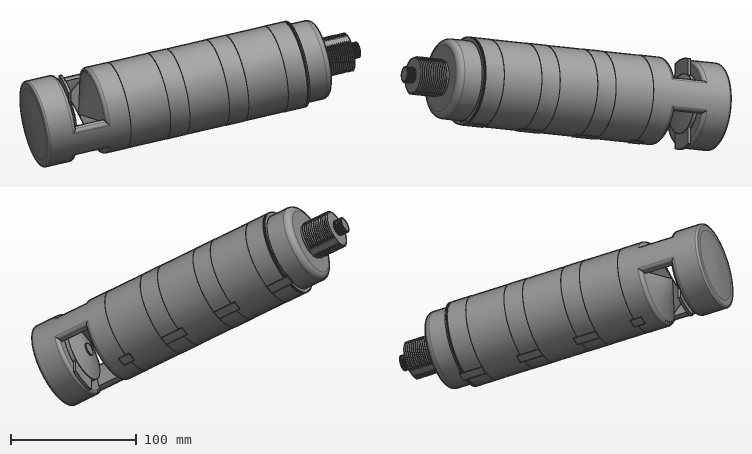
import cadquery as cq
import math

LENGTH = 276.5
HEAD_END = -LENGTH / 2
PLUG_END = LENGTH / 2

BODY_RADIUS = 35.0
LENS_STEP = 0.15
LENS_RADIUS = BODY_RADIUS - LENS_STEP
LENS_LENGTH = 33.5
COLLAR_LENGTH = 16.3
LENS_COUNT = 3
MODULE_LENGTH = LENS_LENGTH + COLLAR_LENGTH
STACK_START = -66.5
STACK_END = STACK_START + LENS_COUNT * MODULE_LENGTH

LUG_HALF_WIDTH = 4.1
LUG_RADIUS = 35.7
LUG_INNER_RADIUS = 33.2
LUG_OVERHANG = 3.3

END_CONE_HEIGHT = 2.2
END_CONE_RADIUS = 29.0
END_FACE = HEAD_END + END_CONE_HEIGHT
END_FILLET = 1.7
WINDOW_START = HEAD_END + 26.5
WINDOW_END = HEAD_END + 51.7
WINDOW_FILLET = 3.0
SELECT_MARGIN = 0.3
STRUT_HALF_WIDTH = 13.0
STRUT_EDGE_X = 27.5
STRUT_NOSE_X = 25.2

REFLECTOR_TIP = HEAD_END + 39.8
REFLECTOR_RADIUS = BODY_RADIUS - WINDOW_FILLET
RIDGE_HEIGHT = WINDOW_END - REFLECTOR_TIP

DOME_RADIUS = 24.0
DOME_RIM = WINDOW_START + 3.3
DOME_TOP = HEAD_END + 34.5
BUTTON_RADIUS = 5.3
BUTTON_TOP = HEAD_END + 35.5
PLATE_RADIUS = 36.5
PLATE_HALF_WIDTH = 11.5
PLATE_START = HEAD_END + 27.5
PLATE_END = HEAD_END + 29.5

RIM_WIDTH = 1.0
RIM_GROOVE_WIDTH = 0.8
RIM_GROOVE_RADIUS = 34.0
REAR_CAP_RADIUS = 32.0
REAR_CAP_END = 105.6
REAR_CAP_FILLET = 5.3
THREAD_ROOT_RADIUS = 14.5
THREAD_RADIUS = 15.5
THREAD_PITCH = 1.7
THREAD_COUNT = 14
CONNECTOR_END = 130.5
FLAT_HALF_HEIGHT = 14.0
PLUG_RADIUS = 6.4
PLUG_ROOT_RADIUS = 5.5
PLUG_RING_COUNT = 7
PLUG_RING_PITCH = (PLUG_END - CONNECTOR_END) / PLUG_RING_COUNT


def cylinder(radius, start, end):
    """Cylinder on the Y axis between two Y positions."""
    return cq.Workplane("XZ", origin=(0, start, 0)).circle(radius).extrude(start - end)


def block(half_x, half_z, start, end):
    """Box centred on the Y axis between two Y positions."""
    return cq.Workplane("XZ", origin=(0, start, 0)).rect(2 * half_x, 2 * half_z).extrude(start - end)


def revolve(outline):
    """Close an outline of (radius, y) points and turn it about the Y axis."""
    return outline.close().revolve(360, (0, 0, 0), (0, 1, 0))


def head_shell():
    """Head cylinder with two filleted windows that leave a pair of struts."""
    shell = cylinder(BODY_RADIUS, END_FACE, STACK_START).faces("<Y").edges().fillet(END_FILLET)
    window = block(2 * BODY_RADIUS, 2 * BODY_RADIUS, WINDOW_START, WINDOW_END)
    window = window.cut(block(2 * BODY_RADIUS, STRUT_HALF_WIDTH, WINDOW_START, WINDOW_END))
    shell = shell.cut(window)

    for z_low, z_high in ((STRUT_HALF_WIDTH, BODY_RADIUS), (-BODY_RADIUS, -STRUT_HALF_WIDTH)):
        rim_zone = cq.selectors.BoxSelector(
            (-BODY_RADIUS, WINDOW_START - SELECT_MARGIN, z_low - SELECT_MARGIN),
            (BODY_RADIUS, WINDOW_END + SELECT_MARGIN, z_high + SELECT_MARGIN),
        )
        shell = shell.edges(rim_zone).edges("%CIRCLE or |Y").fillet(WINDOW_FILLET)

    core = (
        cq.Workplane("XZ", origin=(0, WINDOW_START, 0))
        .moveTo(-STRUT_EDGE_X, -STRUT_HALF_WIDTH)
        .lineTo(STRUT_EDGE_X, -STRUT_HALF_WIDTH)
        .threePointArc((STRUT_NOSE_X, 0), (STRUT_EDGE_X, STRUT_HALF_WIDTH))
        .lineTo(-STRUT_EDGE_X, STRUT_HALF_WIDTH)
        .threePointArc((-STRUT_NOSE_X, 0), (-STRUT_EDGE_X, -STRUT_HALF_WIDTH))
        .close()
        .extrude(WINDOW_START - WINDOW_END)
    )
    return shell.cut(core)


def end_cone():
    """Very shallow cone on the closed end."""
    return revolve(cq.Workplane("XY").moveTo(0, HEAD_END).lineTo(END_CONE_RADIUS, END_FACE).lineTo(0, END_FACE))


def reflector():
    """Cone pointing at the dome, with a ridge along X running into both struts."""
    cone = revolve(
        cq.Workplane("XY").moveTo(0, REFLECTOR_TIP).lineTo(REFLECTOR_RADIUS, WINDOW_END).lineTo(0, WINDOW_END)
    )
    ridge = (
        cq.Workplane("YZ")
        .moveTo(REFLECTOR_TIP, 0)
        .lineTo(WINDOW_END, RIDGE_HEIGHT)
        .lineTo(WINDOW_END, -RIDGE_HEIGHT)
        .close()
        .extrude(STRUT_EDGE_X, both=True)
    )
    return cone.union(ridge)


def sounder():
    """Shallow dome standing on the window floor, with a button on top and a plate at its foot."""
    sag = DOME_TOP - DOME_RIM
    sphere_radius = (DOME_RADIUS**2 + sag**2) / (2 * sag)
    half_angle = math.asin(DOME_RADIUS / sphere_radius) / 2
    arc_middle = (
        sphere_radius * math.sin(half_angle),
        DOME_TOP - sphere_radius * (1 - math.cos(half_angle)),
    )
    dome = revolve(
        cq.Workplane("XY")
        .moveTo(0, WINDOW_START)
        .lineTo(DOME_RADIUS, WINDOW_START)
        .lineTo(DOME_RADIUS, DOME_RIM)
        .threePointArc(arc_middle, (0, DOME_TOP))
    )
    plate = cylinder(PLATE_RADIUS, PLATE_START, PLATE_END)
    plate = plate.intersect(block(PLATE_HALF_WIDTH, PLATE_RADIUS, PLATE_START, PLATE_END))
    button = cylinder(BUTTON_RADIUS, WINDOW_START, BUTTON_TOP)
    return dome.union(plate).union(button)


def lug(start, end):
    """Pad on the -Z side that follows the body curve."""
    ring = cylinder(LUG_RADIUS, start, end).cut(cylinder(LUG_INNER_RADIUS, start, end))
    lower_half = block(LUG_HALF_WIDTH, BODY_RADIUS, start, end).translate((0, 0, -BODY_RADIUS))
    return ring.intersect(lower_half)


def lens_stack():
    """Alternating lenses and collars, with a lug below each collar."""
    stack = lug(STACK_START - 2 * LUG_OVERHANG, STACK_START + LUG_OVERHANG)
    for index in range(LENS_COUNT):
        lens_start = STACK_START + index * MODULE_LENGTH
        lens_end = lens_start + LENS_LENGTH
        collar_end = lens_end + COLLAR_LENGTH
        stack = stack.union(cylinder(LENS_RADIUS, lens_start, lens_end))
        stack = stack.union(cylinder(BODY_RADIUS, lens_end, collar_end))
        stack = stack.union(lug(lens_end, collar_end + LUG_OVERHANG))
    return stack


def rear_cap():
    """Rear cap behind a narrow rim that a groove sets off from the last collar."""
    groove = cylinder(RIM_GROOVE_RADIUS, STACK_END, STACK_END + RIM_GROOVE_WIDTH)
    rim_start = STACK_END + RIM_GROOVE_WIDTH
    rim = cylinder(BODY_RADIUS, rim_start, rim_start + RIM_WIDTH)
    cap = cylinder(REAR_CAP_RADIUS, STACK_END, REAR_CAP_END).faces(">Y").edges().fillet(REAR_CAP_FILLET)
    return cap.union(groove).union(rim)


def ringed_rod(rod_start, rod_end, root_radius, crest_radius, pitch, count):
    """Rod whose far end carries a thread, modelled as a row of V-shaped rings."""
    ring_start = rod_end - count * pitch
    outline = cq.Workplane("XY").moveTo(0, rod_start).lineTo(root_radius, rod_start)
    if ring_start > rod_start:
        outline = outline.lineTo(root_radius, ring_start)
    for ring in range(count):
        root = ring_start + ring * pitch
        outline = outline.lineTo(crest_radius, root + pitch / 2)
        outline = outline.lineTo(root_radius, root + pitch)
    return revolve(outline.lineTo(0, rod_end))


def connector():
    """Threaded connector with two flats, and the finely ringed plug that stands on its end."""
    thread = ringed_rod(
        REAR_CAP_END, CONNECTOR_END, THREAD_ROOT_RADIUS, THREAD_RADIUS, THREAD_PITCH, THREAD_COUNT
    )
    thread = thread.intersect(block(2 * THREAD_RADIUS, FLAT_HALF_HEIGHT, REAR_CAP_END, CONNECTOR_END))
    plug = ringed_rod(
        CONNECTOR_END, PLUG_END, PLUG_ROOT_RADIUS, PLUG_RADIUS, PLUG_RING_PITCH, PLUG_RING_COUNT
    )
    return thread.union(plug)


result = head_shell()
for section in (end_cone(), reflector(), sounder(), lens_stack(), rear_cap(), connector()):
    result = result.union(section)